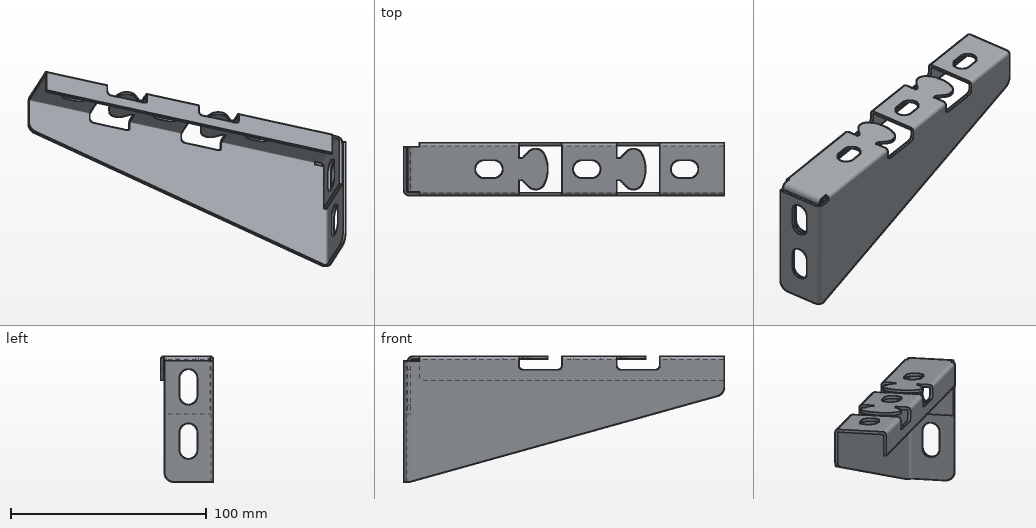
import cadquery as cq
import math


length = 164.0
width = 27.0
height = 64.5

sheet = 1.5
long_bend_radius = 2.0
end_bend_radius = 3.0

tip_height = 19.5
tip_radius = 5.0
flange_depth = 12.5

corner_relief_length = 8.0
end_plate_drop = 2.5
end_plate_radius = 5.0
lip_gap = 0.5
lip_depth = 29.5
flat_far_y = width - long_bend_radius

slot_width = 9.0
top_slot_length = 14.0
end_slot_length = 18.0
first_top_slot_x = 43.6
end_slot_y = 12.8
end_slot_depths = (15.7, 43.5)

pitch = 50.0
slot_count = 3
window_count = slot_count - 1
window_start_x = 59.0
window_length = 21.8
window_depth = 6.9
window_radius = 2.0
tongue_length = 14.8
tongue_half_width = 10.5
tongue_neck_half_width = 5.7
tongue_tip_radius = 16.9
tongue_shoulder_radius = 5.0


def bent_sheet(plane, leg_a, leg_b, radius, depth):
    """L-shaped sheet with its outer corner at the plane origin and legs along the local axes."""
    inner = radius - sheet
    outer_mid = radius * (1 - math.sqrt(0.5))
    inner_mid = radius - inner * math.sqrt(0.5)
    return (
        cq.Workplane(plane)
        .moveTo(leg_a, 0)
        .lineTo(radius, 0)
        .threePointArc((outer_mid, outer_mid), (0, radius))
        .lineTo(0, leg_b)
        .lineTo(sheet, leg_b)
        .lineTo(sheet, radius)
        .threePointArc((inner_mid, inner_mid), (radius, sheet))
        .lineTo(leg_a, sheet)
        .close()
        .extrude(depth)
    )


def make_channel():
    """Top panel with the front web and the shorter back flange, past the corner relief."""
    run = length - corner_relief_length
    origin = (corner_relief_length, 0, 0)
    plane = cq.Plane(origin=origin, xDir=(0, 0, -1), normal=(1, 0, 0))
    front = bent_sheet(plane, height, width / 2, long_bend_radius, run)
    back = bent_sheet(plane, flange_depth, width / 2, long_bend_radius, run)
    return front.union(back.mirror("XZ", (0, width / 2, 0)))


def make_end_plate():
    """Mounting plate bent from the front web, with its free bottom corner rounded."""
    plane = cq.Plane(origin=(0, 0, -height), xDir=(1, 0, 0), normal=(0, 0, 1))
    plate = bent_sheet(
        plane, corner_relief_length, flat_far_y, end_bend_radius, height - end_plate_drop
    )
    return plate.edges("|X").edges(">Y").edges("<Z").fillet(end_plate_radius)


def make_end_lip():
    """Lip bent down from the top panel, just behind the end plate."""
    lip_x = sheet + lip_gap
    plane = cq.Plane(origin=(lip_x, long_bend_radius, 0), xDir=(1, 0, 0), normal=(0, 1, 0))
    return bent_sheet(
        plane,
        corner_relief_length - lip_x,
        lip_depth,
        end_bend_radius,
        flat_far_y - long_bend_radius,
    )


def make_taper_cut():
    """Material below the sloping web edge and its rounded free end."""
    slope_start = (end_bend_radius, -height)
    slope = math.atan2(height - tip_height, length - end_bend_radius)
    tangent = tip_radius / math.tan((math.pi / 2 + slope) / 2)
    slope_end = (length - tangent * math.cos(slope), -tip_height - tangent * math.sin(slope))
    return (
        cq.Workplane("XZ")
        .moveTo(*slope_start)
        .lineTo(*slope_end)
        .radiusArc((length, -tip_height + tangent), -tip_radius)
        .lineTo(length, -height)
        .close()
        .extrude(-width)
    )


def make_window(start_x):
    """Opening through the top panel and the upper parts of both sides."""
    return (
        cq.Workplane("XY")
        .box(window_length, width, window_depth, centered=False)
        .edges("|Y")
        .edges("<Z")
        .fillet(window_radius)
        .translate((start_x, 0, -window_depth))
    )


def make_tongue(start_x):
    """Flared tongue left in the window, level with the top panel."""
    tip_centre_x = tongue_length - tongue_tip_radius
    shoulder_y = tongue_half_width - tongue_shoulder_radius
    centre_distance = tongue_tip_radius - tongue_shoulder_radius
    shoulder_x = tip_centre_x + math.sqrt(centre_distance**2 - shoulder_y**2)

    diagonal = tongue_shoulder_radius * math.sqrt(0.5)
    flare_x = shoulder_x - diagonal
    flare_y = shoulder_y + diagonal
    neck_x = flare_x - (flare_y - tongue_neck_half_width)
    reach = tongue_tip_radius / centre_distance
    join_x = tip_centre_x + (shoulder_x - tip_centre_x) * reach
    join_y = shoulder_y * reach

    return (
        cq.Workplane("XY", origin=(start_x, width / 2, -sheet))
        .moveTo(0, -tongue_neck_half_width)
        .lineTo(neck_x, -tongue_neck_half_width)
        .lineTo(flare_x, -flare_y)
        .threePointArc((shoulder_x, -tongue_half_width), (join_x, -join_y))
        .threePointArc((tongue_length, 0), (join_x, join_y))
        .threePointArc((shoulder_x, tongue_half_width), (flare_x, flare_y))
        .lineTo(neck_x, tongue_neck_half_width)
        .lineTo(0, tongue_neck_half_width)
        .close()
        .extrude(sheet)
    )


def make_top_slots():
    """Lengthwise slots through the top panel."""
    centres = [(first_top_slot_x + i * pitch, width / 2) for i in range(slot_count)]
    return (
        cq.Workplane("XY")
        .pushPoints(centres)
        .slot2D(top_slot_length, slot_width)
        .extrude(-sheet)
    )


def make_end_slots():
    """Upright slots through the end plate; the upper one also passes through the lip."""
    centres = [(end_slot_y, -depth) for depth in end_slot_depths]
    return (
        cq.Workplane("YZ")
        .pushPoints(centres)
        .slot2D(end_slot_length, slot_width, angle=90)
        .extrude(corner_relief_length)
    )


bracket = make_channel().union(make_end_plate()).union(make_end_lip())
bracket = bracket.cut(make_taper_cut())

for i in range(window_count):
    window_x = window_start_x + i * pitch
    bracket = bracket.cut(make_window(window_x))
    bracket = bracket.union(make_tongue(window_x))

result = bracket.cut(make_top_slots()).cut(make_end_slots())